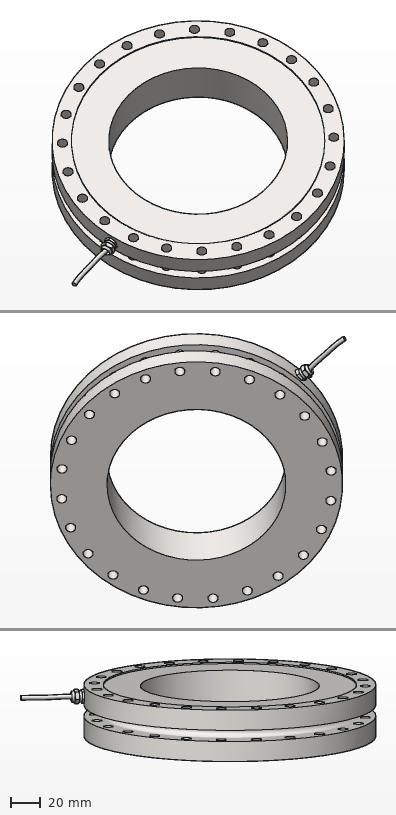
import cadquery as cq

ring_diameter = 196.0
bore_diameter = 120.0
ring_height = 35.0
flange_height = 13.8
recess_diameter = 170.0
recess_depth = 1.0
groove_edge_radius = recess_diameter / 2
groove_floor_radius = 81.5

hole_count = 24
hole_diameter = 6.6
hole_circle_radius = 91.0

ring_radius = ring_diameter / 2
gland_x = -13.3
gland_z = ring_height - flange_height / 2
gland_reach = 7.8
gland_root = 3.5
base_hex_diameter = 9.5
base_hex_end = 1.0
nut_diameter = 10.0
nut_start = 2.8
nut_end = 6.0
nut_chamfer = 0.6
hex_turn = 14
neck_diameter = 7.8
mouth_diameter = 6.0
mouth_depth = 2.4
cap_fillet = (neck_diameter - mouth_diameter) / 2

overall_length = 237
cable_diameter = 3.3
cable_sag = 0.7
cable_exit_x = -13.8
cable_bend_x = -17.3
cable_bend_y = -122.8
cable_end_x = -19.2
cable_end_y = ring_radius - overall_length


def make_ring():
    groove_bottom = flange_height
    groove_top = ring_height - flange_height
    profile = (
        cq.Workplane("XZ")
        .moveTo(bore_diameter / 2, 0)
        .lineTo(ring_radius, 0)
        .lineTo(ring_radius, groove_bottom)
        .lineTo(groove_edge_radius, groove_bottom)
        .threePointArc((groove_floor_radius, ring_height / 2), (groove_edge_radius, groove_top))
        .lineTo(ring_radius, groove_top)
        .lineTo(ring_radius, ring_height)
        .lineTo(recess_diameter / 2, ring_height)
        .lineTo(recess_diameter / 2, ring_height - recess_depth)
        .lineTo(bore_diameter / 2, ring_height - recess_depth)
        .close()
    )
    body = profile.revolve(360, (0, 0, 0), (0, 1, 0))
    holes = (
        cq.Workplane("XY")
        .polarArray(hole_circle_radius, 0, 360, hole_count)
        .circle(hole_diameter / 2)
        .extrude(ring_height)
    )
    return body.cut(holes)


def gland_plane(offset):
    """Plane across the gland axis, at an offset outward from the ring's -Y extreme."""
    return cq.Plane(origin=(gland_x, -ring_radius - offset, gland_z), xDir=(1, 0, 0), normal=(0, -1, 0))


def make_hexagon(start, end, corner_diameter):
    plane = gland_plane(start).rotated((0, 0, -hex_turn))
    return cq.Workplane(plane).polygon(6, corner_diameter).extrude(end - start)


def make_gland():
    base = make_hexagon(-gland_root, base_hex_end, base_hex_diameter)
    nut_envelope = (
        cq.Workplane(gland_plane(nut_start))
        .circle(nut_diameter / 2)
        .extrude(nut_end - nut_start)
        .edges()
        .chamfer(nut_chamfer)
    )
    nut = make_hexagon(nut_start, nut_end, nut_diameter).intersect(nut_envelope)
    core = (
        cq.Workplane(gland_plane(-gland_root))
        .circle(neck_diameter / 2)
        .extrude(gland_root + gland_reach)
        .faces("<Y")
        .edges()
        .fillet(cap_fillet)
    )
    ring_envelope = cq.Workplane("XY").circle(ring_radius).extrude(ring_height)
    mouth = cq.Workplane(gland_plane(gland_reach - mouth_depth)).circle(mouth_diameter / 2).extrude(mouth_depth)
    return base.union(core).union(nut).cut(ring_envelope).cut(mouth)


def make_cable():
    seat = gland_plane(gland_reach - mouth_depth)
    bend = cq.Vector(cable_bend_x, cable_bend_y, gland_z - cable_sag)
    end = cq.Vector(cable_end_x, cable_end_y, gland_z - cable_sag)
    cable_exit = cq.Vector(cable_exit_x, -ring_radius - gland_reach, gland_z)
    outward = cq.Vector(0, -1, 0)
    path = cq.Workplane("XY").spline([seat.origin, cable_exit, bend, end], tangents=[outward, outward])
    return cq.Workplane(seat).circle(cable_diameter / 2).sweep(path)


ring = make_ring()
gland = make_gland()
cable = make_cable()

result = cq.Compound.makeCompound([ring.solids().val(), gland.solids().val(), cable.solids().val()])